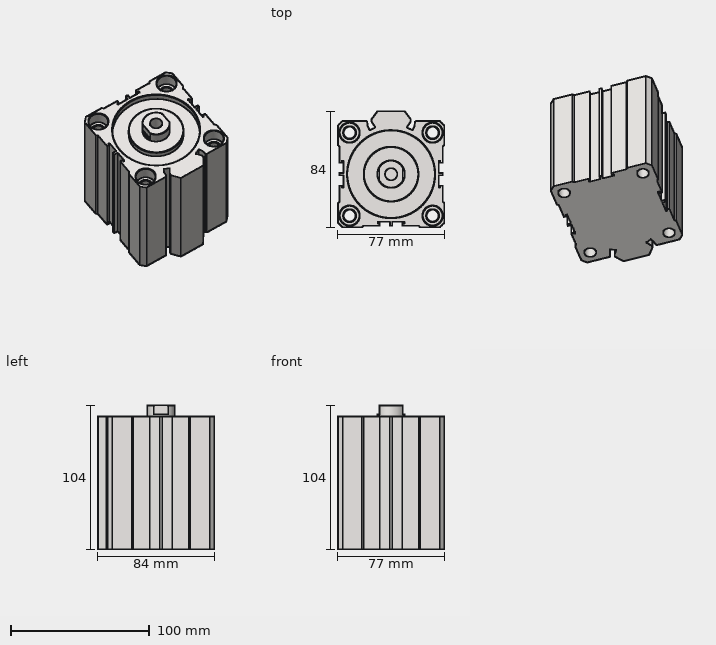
import cadquery as cq

total_height = 104.0
rod_protrusion = 8.0
housing_height = total_height - rod_protrusion

housing_width = 77.0
half_width = housing_width / 2
corner_chamfer = 3.4
panel_half_width = 19.9
panel_depth = 1.1
panel_face = half_width - panel_depth

slot_opening = 16.4
slot_inner_width = 19.0
slot_floor = 34.4
slot_lip_inner = 35.5
slot_rib_width = 1.9

rail_top = 45.5
rail_top_half_width = 9.8
rail_half_width = 14.4
rail_shoulder_high = 39.4
rail_shoulder_low = 38.7
rail_neck_x = 13.9
rail_neck_y = 37.4
groove_inner_x = 11.3
groove_inner_y = 33.7
groove_outer_x = 15.5
groove_outer_y = 31.8
groove_knee_x = 16.8
groove_knee_y = 34.8
groove_mouth_x = 17.2
groove_mouth_y = 37.6
groove_lead_in = 0.8

mount_offset = 30.0
mount_hole_diameter = 8.5
mount_hole_chamfer = 0.5
counterbore_diameter = 14.0
counterbore_depth = 10.5
counterbore_chamfer = 0.4

recess_diameter = 63.0
recess_depth = 5.2
recess_chamfer = 0.4
boss_diameter = 39.8
boss_drop = 0.6
boss_top = housing_height - boss_drop
boss_chamfer = 0.4

rod_diameter = 20.0
rod_embedded_length = 25.0
rod_bottom = boss_top - rod_embedded_length
rod_chamfer = 0.3
flat_width = 17.1
flat_height = 6.7
tapped_hole_diameter = 8.8
tapped_hole_depth = 15.0


def build_profile():
    """Extrude the chamfered square with the undercut rail on its +Y side."""
    chamfer_start = half_width - corner_chamfer
    right_side = [
        (chamfer_start, -half_width),
        (half_width, -chamfer_start),
        (half_width, chamfer_start),
        (chamfer_start, half_width),
        (groove_mouth_x + groove_lead_in, half_width),
        (groove_mouth_x, groove_mouth_y),
        (groove_knee_x, groove_knee_y),
        (groove_outer_x, groove_outer_y),
        (groove_inner_x, groove_inner_y),
        (rail_neck_x, rail_neck_y),
        (rail_half_width, rail_shoulder_low),
        (rail_half_width, rail_shoulder_high),
        (rail_top_half_width, rail_top),
    ]
    left_side = [(-x, y) for x, y in reversed(right_side)]
    return cq.Workplane("XY").polyline(right_side + left_side).close().extrude(housing_height)


def build_side_cut():
    """Shallow panel and ribbed T-slot, shaped for the -Y side."""
    panel = (
        cq.Workplane("XY")
        .polyline([
            (-panel_half_width - panel_depth, -half_width),
            (panel_half_width + panel_depth, -half_width),
            (panel_half_width, -panel_face),
            (-panel_half_width, -panel_face),
        ])
        .close()
        .extrude(housing_height)
    )
    half_opening = slot_opening / 2
    half_inner = slot_inner_width / 2
    half_rib = slot_rib_width / 2
    half_slot = [
        (half_rib, -panel_face),
        (half_opening, -panel_face),
        (half_opening, -slot_lip_inner),
        (half_inner, -slot_lip_inner),
        (half_inner, -slot_floor),
        (half_rib, -slot_floor),
    ]
    right_slot = cq.Workplane("XY").polyline(half_slot).close().extrude(housing_height)
    return panel.union(right_slot).union(right_slot.mirror("YZ"))


def build_mount_cutter():
    """Through hole and counterbore, chamfered at the upper mouth of each, as a revolved shape."""
    hole_radius = mount_hole_diameter / 2
    bore_radius = counterbore_diameter / 2
    bore_floor = housing_height - counterbore_depth
    return (
        cq.Workplane("XZ")
        .polyline([
            (0, 0),
            (hole_radius, 0),
            (hole_radius, bore_floor - mount_hole_chamfer),
            (hole_radius + mount_hole_chamfer, bore_floor),
            (bore_radius, bore_floor),
            (bore_radius, housing_height - counterbore_chamfer),
            (bore_radius + counterbore_chamfer, housing_height),
            (0, housing_height),
        ])
        .close()
        .revolve(360, (0, 0, 0), (0, 1, 0))
    )


def build_recess_cutter():
    """Recess around and just above the boss, chamfered at its mouth and at the boss rim."""
    recess_radius = recess_diameter / 2
    boss_radius = boss_diameter / 2
    recess_floor = housing_height - recess_depth
    return (
        cq.Workplane("XZ")
        .polyline([
            (boss_radius, recess_floor),
            (recess_radius, recess_floor),
            (recess_radius, housing_height - recess_chamfer),
            (recess_radius + recess_chamfer, housing_height),
            (0, housing_height),
            (0, boss_top),
            (boss_radius - boss_chamfer, boss_top),
            (boss_radius, boss_top - boss_chamfer),
        ])
        .close()
        .revolve(360, (0, 0, 0), (0, 1, 0))
    )


def build_rod_socket():
    """Blind hole that the lower part of the piston rod fills."""
    return (
        cq.Workplane("XY", origin=(0, 0, rod_bottom))
        .circle(rod_diameter / 2)
        .extrude(rod_embedded_length)
    )


def build_housing():
    housing = build_profile()
    side_cut = build_side_cut()
    for angle in (-90, 0, 90):
        housing = housing.cut(side_cut.rotate((0, 0, 0), (0, 0, 1), angle))
    mount_cutter = build_mount_cutter()
    for x in (-mount_offset, mount_offset):
        for y in (-mount_offset, mount_offset):
            housing = housing.cut(mount_cutter.translate((x, y, 0)))
    return housing.cut(build_recess_cutter()).cut(build_rod_socket())


def build_rod():
    """Piston rod with a tapped end and two wrench flats facing +X and -X."""
    rod = (
        cq.Workplane("XY", origin=(0, 0, rod_bottom))
        .circle(rod_diameter / 2)
        .extrude(total_height - rod_bottom)
        .faces(">Z")
        .chamfer(rod_chamfer)
    )
    flat_bottom = total_height - flat_height
    flat_blank = (
        cq.Workplane("XY", origin=(0, 0, flat_bottom))
        .rect(rod_diameter, rod_diameter)
        .rect(flat_width, rod_diameter)
        .extrude(flat_height)
    )
    tapped_hole = (
        cq.Workplane("XY", origin=(0, 0, total_height - tapped_hole_depth))
        .circle(tapped_hole_diameter / 2)
        .extrude(tapped_hole_depth)
    )
    return rod.cut(flat_blank).cut(tapped_hole)


housing = build_housing()
rod = build_rod()

result = cq.Compound.makeCompound([housing.val(), rod.val()])